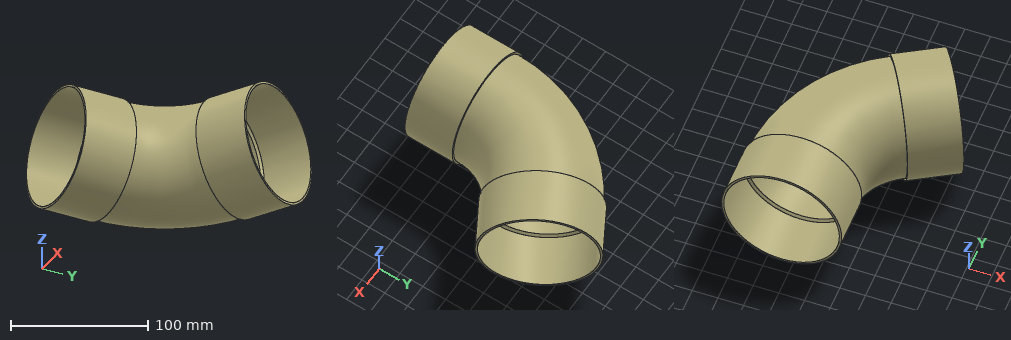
import cadquery as cq
import math

socket_outer_diameter = 93.7
pipe_outer_diameter = 90.0
wall = 1.8
socket_length = 41.7
taper_length = wall
bend_radius = 90.2
bend_angle = 60.0

socket_bore_diameter = pipe_outer_diameter
bend_bore_diameter = pipe_outer_diameter - 2 * wall

angle = math.radians(bend_angle)
inlet_center = (0, 0, 0)
inlet_direction = (0, 1, 0)
outlet_center = (bend_radius * (1 - math.cos(angle)), bend_radius * math.sin(angle), 0)
outlet_direction = (math.sin(angle), math.cos(angle), 0)


def bend(diameter):
    """Solid round bend, revolved about a vertical axis at the bend centre."""
    return (
        cq.Workplane("XZ")
        .circle(diameter / 2)
        .revolve(bend_angle, (bend_radius, 1.8, 0), (bend_radius, 0, 0))
    )


def cylinder(diameter, center, direction, start=0):
    """Solid cylinder from a start distance beyond a bend end to the socket mouth."""
    axis = cq.Vector(*direction)
    base = cq.Vector(*center) + axis * start
    return cq.Workplane(cq.Solid.makeCylinder(diameter / 2, socket_length - start, base, axis))


def taper(center, direction):
    """Solid cone widening from the bend bore to the socket bore."""
    return cq.Workplane(
        cq.Solid.makeCone(
            bend_bore_diameter / 2,
            socket_bore_diameter / 2,
            taper_length,
            cq.Vector(*center),
            cq.Vector(*direction),
        )
    )


socket_ends = [
    (inlet_center, tuple(-component for component in inlet_direction)),
    (outlet_center, outlet_direction),
]

outside = bend(pipe_outer_diameter)
bore = bend(bend_bore_diameter)
for center, direction in socket_ends:
    outside = outside.union(cylinder(socket_outer_diameter, center, direction))
    bore = bore.union(taper(center, direction))
    bore = bore.union(cylinder(socket_bore_diameter, center, direction, taper_length))

result = outside.cut(bore)